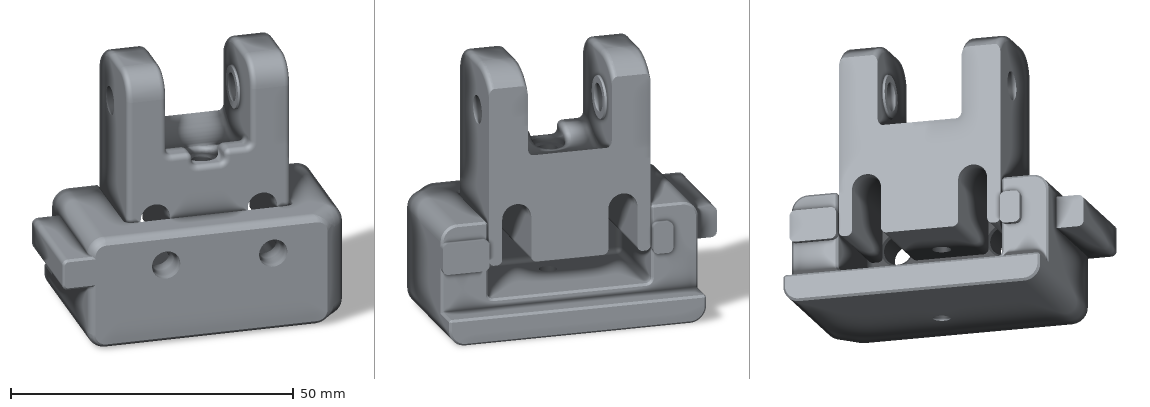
import cadquery as cq
import math

base_depth = 30.0
base_width = 47.7
base_height = 21.0
half_width = base_width / 2
ledge_depth = 5.0
ledge_height = 5.0
side_round = 3.0
corner_cut = 4.0
back_chamfer = 1.0
back_round = 2.0
edge_break = 0.4

clevis_width = 30.0
clevis_front = ledge_depth
clevis_depth = 18.0
clevis_back = clevis_front + clevis_depth
clevis_bottom = 12.7
clevis_top = 48.83
edge_round = 1.0
pin_hole_diameter = 5.2
pin_x = clevis_front + 6.8
crown_radius = 9.0
pin_z = clevis_top - crown_radius
crown_back_radius = 5.0
lug_gap = 15.6
floor_radius = 9.9
platform_height = 32.7
platform_blend = 5.0
boss_diameter = 8.0
boss_tip_diameter = 7.7
boss_height = 0.4

screw_x = 18.0
screw_head_diameter = 6.0
screw_clevis_diameter = 3.4
screw_base_diameter = 3.2
notch_depth = 2.5
head_seat_depth = 1.0

clamp_y = 9.85
clamp_z = 15.0
clamp_hole_diameter = 5.2
clamp_slot_width = 5.4
clamp_slot_center_z = 21.1

clearance = 0.2
pocket_width = clevis_width + 2 * clearance
pocket_back = clevis_back + clearance
pocket_floor = 6.5
pocket_round = 1.0

rail_bottom = 12.2
rail_top = 18.0
rail_front = 10.0
rail_reach = 5.0
pad_thickness = 1.0
short_pad_width = 3.7

reach = 2 * base_depth
slack = 0.01


def box(x0, x1, y0, y1, z0, z1):
    """Box between two opposite corners."""
    return cq.Workplane("XY").box(x1 - x0, y1 - y0, z1 - z0, centered=False).translate((x0, y0, z0))


def edges_within(low, high):
    """Selector for the edges that lie wholly between two opposite corners."""
    return cq.selectors.BoxSelector(low, high, boundingbox=True)


def on_plane_x(x):
    """Selector for the edges that lie at one depth."""
    return edges_within((x - slack, -reach, -reach), (x + slack, reach, reach))


def on_plane_z(z):
    """Selector for the edges that lie at one height."""
    return edges_within((-reach, -reach, z - slack), (reach, reach, z + slack))


def at_y(y, z_low, z_high):
    """Selector for the edges at one width position within a range of heights."""
    return edges_within((-reach, y - slack, z_low - slack), (reach, y + slack, z_high + slack))


def outer_block():
    """Block with rounded long edges, a cut corner and a bevelled back."""
    block = box(0, base_depth, -half_width, half_width, 0, base_height)
    block = block.edges("|Z and >X and >Y").chamfer(corner_cut)
    block = block.faces("<Y").edges("|X").fillet(side_round)
    block = block.faces(">X").edges("<Y").chamfer(back_chamfer)
    block = block.edges(on_plane_x(base_depth - back_chamfer)).fillet(back_round)
    corner = (base_depth - corner_cut, half_width, base_height / 2)
    block = block.edges(cq.selectors.NearestToPointSelector(corner)).fillet(side_round)
    return block.faces(">Y").edges("|X").fillet(side_round)


def pocket():
    """Guide pocket for the clevis, open at the top and the front."""
    half = pocket_width / 2
    cavity = box(0, pocket_back, -half, half, pocket_floor, 2 * base_height)
    return cavity.edges("<Z or (|Z and >X)").edges("not <X").fillet(pocket_round)


def stepped_block():
    """Outer block with a low front ledge and the pocket, its front and pocket edges broken."""
    upper_front = box(0, ledge_depth, -base_width, base_width, ledge_height, 2 * base_height)
    block = outer_block().cut(upper_front).cut(pocket())
    front_rim = block.faces("<X").edges()
    step_rim = block.edges(on_plane_x(ledge_depth) - on_plane_z(ledge_height))
    ledge_sides = block.edges("|X").edges(on_plane_z(ledge_height))
    side_limit = half_width - side_round - edge_break
    near_pocket = cq.selectors.BoxSelector(
        (ledge_depth + edge_break, -side_limit, 0),
        (pocket_back + edge_break, side_limit, 2 * base_height),
    )
    top_rim = block.edges(on_plane_z(base_height)).edges(near_pocket)
    rims = front_rim.vals() + step_rim.vals() + ledge_sides.vals() + top_rim.vals()
    return block.newObject(rims).chamfer(edge_break)


def clamp_holes():
    """Holes through the back wall, countersunk on the pocket side."""
    radius = clamp_hole_diameter / 2
    holes = (
        cq.Workplane("YZ", origin=(pocket_back, 0, clamp_z))
        .pushPoints([(clamp_y, 0), (-clamp_y, 0)])
        .circle(radius)
        .extrude(base_depth)
    )
    for y in (clamp_y, -clamp_y):
        rim_center = cq.Vector(pocket_back, y, clamp_z)
        sink = cq.Solid.makeCone(radius + edge_break, radius, edge_break, rim_center, cq.Vector(1, 0, 0))
        holes = holes.union(sink)
    return holes


def rail():
    """Guide rail along the -Y side of the base."""
    bar = box(rail_front, base_depth, -half_width - rail_reach, 0, rail_bottom, rail_top)
    bar = bar.faces("<Y").edges("|X").fillet(edge_round)
    bar = bar.faces(">X").edges("<Y").chamfer(edge_break)
    inside = box(0, base_depth, -half_width + side_round, half_width, 0, base_height)
    return bar.cut(inside)


def pad(y0, y1):
    """Rounded pad standing on the front face beside the pocket."""
    block = box(ledge_depth - pad_thickness, ledge_depth + edge_break, y0, y1, rail_bottom, rail_top)
    return block.edges("|X").fillet(edge_round)


def make_base():
    """Base with its pocket, rail, pads and screw holes."""
    half = pocket_width / 2
    body = stepped_block()
    body = body.union(rail())
    body = body.union(pad(half, half_width))
    body = body.union(pad(-half - short_pad_width, -half))
    body = body.cut(clamp_holes())
    screw = cq.Workplane("XY").center(screw_x, 0).circle(screw_base_diameter / 2).extrude(base_height)
    return body.cut(screw)


def lug_outline():
    """Side outline of the clevis."""
    half_chord = pin_x - clevis_front
    front_top = pin_z + math.sqrt(crown_radius ** 2 - half_chord ** 2)
    tilt = math.asin(half_chord / crown_radius) / 2
    crown_mid = (pin_x - crown_radius * math.sin(tilt), pin_z + crown_radius * math.cos(tilt))
    return (
        cq.Workplane("XZ")
        .moveTo(clevis_front, clevis_bottom)
        .lineTo(clevis_front, front_top)
        .threePointArc(crown_mid, (pin_x, clevis_top))
        .lineTo(clevis_back - crown_back_radius, clevis_top)
        .radiusArc((clevis_back, clevis_top - crown_back_radius), crown_back_radius)
        .lineTo(clevis_back, clevis_bottom)
        .close()
    )


def gap_cutter():
    """Space between the lugs: a hollow about the pin that runs out onto a flat platform."""
    rise = pin_z - (platform_height - platform_blend)
    center_distance = floor_radius + platform_blend
    run = math.sqrt(center_distance ** 2 - rise ** 2)
    share = floor_radius / center_distance
    blend_start = (pin_x + run * share, pin_z - rise * share)
    front_z = pin_z - math.sqrt(floor_radius ** 2 - (pin_x - clevis_front) ** 2)
    above = 2 * clevis_top
    return (
        cq.Workplane("XZ")
        .moveTo(clevis_front, above)
        .lineTo(clevis_front, front_z)
        .threePointArc((pin_x, pin_z - floor_radius), blend_start)
        .radiusArc((pin_x + run, platform_height), platform_blend)
        .lineTo(clevis_back, platform_height)
        .lineTo(clevis_back, above)
        .close()
        .extrude(lug_gap / 2, both=True)
    )


def seat_cylinder():
    """Round space for the screw head."""
    seat_z = platform_height - notch_depth - head_seat_depth
    circle = cq.Workplane("XY", origin=(screw_x, 0, seat_z)).circle(screw_head_diameter / 2)
    return circle.extrude(clevis_top - seat_z)


def screw_seat():
    """Space for the screw head, open to the back."""
    half = screw_head_diameter / 2
    seat_z = platform_height - notch_depth - head_seat_depth
    return seat_cylinder().union(box(screw_x, 2 * clevis_back, -half, half, seat_z, clevis_top))


def channel_floor():
    """Raised, round-bottomed floor of the channel behind the screw seat."""
    half = screw_head_diameter / 2
    floor_z = platform_height - notch_depth
    seat_z = floor_z - head_seat_depth
    fill = box(screw_x, clevis_back, -half, half, seat_z, floor_z + edge_round)
    channel = box(0, 2 * clevis_back, -half, half, floor_z, clevis_top)
    channel = channel.faces("<Z").edges("|X").fillet(edge_round)
    return fill.cut(channel).cut(seat_cylinder())


def clamp_slots():
    """Slots, open at the bottom, that let the clevis slide past the clamping screws."""
    slots = cq.Workplane("XY")
    radius = clamp_slot_width / 2
    for y in (clamp_y, -clamp_y):
        slot = box(0, base_depth, y - radius, y + radius, 0, clamp_slot_center_z)
        round_end = cq.Workplane("YZ").center(y, clamp_slot_center_z).circle(radius).extrude(base_depth)
        slots = slots.union(slot.union(round_end))
    return slots


def make_clevis():
    """Clevis with two lugs, pin bosses, a screw seat and clamping slots."""
    half_gap = lug_gap / 2
    half_notch = screw_head_diameter / 2
    body = lug_outline().extrude(clevis_width / 2, both=True)
    body = body.cut(gap_cutter())

    lug_feet = at_y(half_gap, 0, platform_height) + at_y(-half_gap, 0, platform_height)
    body = body.edges(lug_feet).fillet(edge_round)

    body = body.cut(screw_seat())
    lip = at_y(half_notch, platform_height, platform_height) + at_y(-half_notch, platform_height, platform_height)
    body = body.edges("|X").edges(lip).fillet(edge_round)
    body = body.union(channel_floor())

    back_edges = body.faces(">X").edges()
    body = back_edges.filter(lambda edge: edge.Center().z > clevis_bottom + edge_round).fillet(edge_round)

    for side in (1, -1):
        foot = cq.Vector(pin_x, side * half_gap, pin_z)
        inward = cq.Vector(0, -side, 0)
        boss = cq.Solid.makeCone(boss_diameter / 2, boss_tip_diameter / 2, boss_height, foot, inward)
        body = body.union(boss)

    pin_hole = cq.Workplane("XZ").center(pin_x, pin_z).circle(pin_hole_diameter / 2)
    pin_hole = pin_hole.extrude(clevis_width, both=True)
    screw = cq.Workplane("XY").center(screw_x, 0).circle(screw_clevis_diameter / 2).extrude(clevis_top)
    body = body.cut(clamp_slots()).cut(pin_hole).cut(screw)
    return body.faces("<Z").edges("|X").fillet(edge_round)


base = make_base()
clevis = make_clevis()
result = cq.Compound.makeCompound([base.val(), clevis.val()])